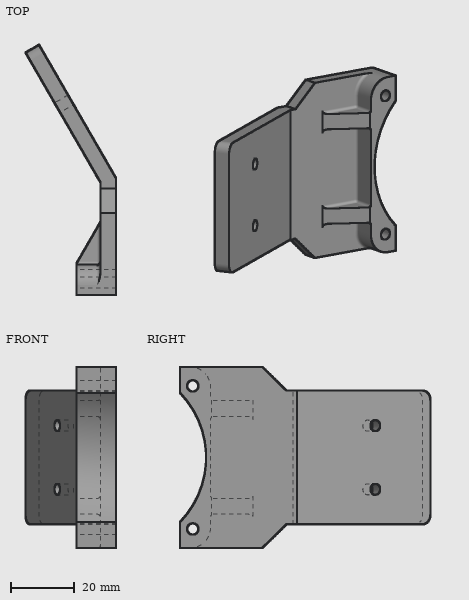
import cadquery as cq
import math

total_width = 28.5
total_length = 78.8
plate_height = 57.0
thickness = 5.0
tilt = 30.0

slab_height = 42.2
slab_corner_radius = 3.0
slab_hole_diameter = 3.5
slab_hole_spacing = 20.0
slab_hole_from_tip = 20.0

shoulder_start = 25.9
shoulder_end = 33.5

flange_reach = 12.5
flange_depth = 9.6
flange_end_radius = 6.5
flange_hole_diameter = 3.5
flange_hole_y = 4.0
flange_hole_spacing = 45.0
cutout_depth = 8.2
cutout_chord = 40.6

rib_width = 5.0
rib_spacing = 30.7
rib_start = 9.9
root_radius = 0.95

tilt_sin = math.sin(math.radians(tilt))
tilt_cos = math.cos(math.radians(tilt))
slab_length = (total_width - thickness * tilt_cos) / tilt_sin
bend_outer_y = total_length - slab_length * tilt_cos
bend_inner_y = bend_outer_y - thickness * math.tan(math.radians(tilt / 2))
rib_end = rib_start + (flange_reach - thickness) / math.tan(math.radians(tilt))
tip_outer = (-slab_length * tilt_sin, total_length)
tip_inner = (-total_width, total_length - thickness * tilt_sin)


def across_z(points, height):
    """Extrude a closed XY outline symmetrically about Z = 0."""
    return cq.Workplane("XY").polyline(points).close().extrude(height / 2, both=True)


def make_plate_outline():
    """Prism of the shouldered plate outline, through the full flange reach."""
    half_height = plate_height / 2
    half_slab = slab_height / 2
    outline = [
        (0, -half_height),
        (shoulder_start, -half_height),
        (shoulder_end, -half_slab),
        (bend_outer_y, -half_slab),
        (bend_outer_y, half_slab),
        (shoulder_end, half_slab),
        (shoulder_start, half_height),
        (0, half_height),
    ]
    return cq.Workplane("YZ").polyline(outline).close().extrude(-flange_reach)


def make_plate_stock():
    """Plate with the mitred bend, taller than needed so root fillets can run past its edges."""
    profile = [(0, 0), (0, bend_outer_y), (-thickness, bend_inner_y), (-thickness, 0)]
    stock_height = plate_height + 4 * root_radius
    return across_z(profile, stock_height)


def make_slab():
    """Tilted slab with rounded tip corners and two holes square to its face."""
    profile = [(0, bend_outer_y), tip_outer, tip_inner, (-thickness, bend_inner_y)]
    slab = across_z(profile, slab_height)
    thickness_direction = cq.Vector(tilt_cos, tilt_sin, 0)
    thickness_edges = slab.edges(cq.selectors.ParallelDirSelector(thickness_direction))
    slab = thickness_edges.edges(">Y").fillet(slab_corner_radius)
    hole_plane = cq.Plane(
        origin=(
            tip_inner[0] + slab_hole_from_tip * tilt_sin,
            tip_inner[1] - slab_hole_from_tip * tilt_cos,
            0,
        ),
        xDir=(0, 0, 1),
        normal=(tilt_cos, tilt_sin, 0),
    )
    holes = (
        cq.Workplane(hole_plane)
        .rarray(slab_hole_spacing, 0.8, 2, 1)
        .circle(slab_hole_diameter / 2)
        .extrude(thickness, both=True)
    )
    return slab.cut(holes)


def make_flange():
    """Wall along the front edge, rounded at its inner ends."""
    flange = (
        cq.Workplane("XY")
        .box(flange_reach, flange_depth, plate_height, centered=(True, False, True))
        .translate((-flange_reach / 2, 0, 0))
    )
    return flange.edges("|X and >Y").fillet(flange_end_radius)


def make_rib_blocks():
    """Two square blocks as tall as the flange, to be cut down to the rib slope later."""
    block_length = rib_end - flange_depth
    return (
        cq.Workplane("YZ")
        .center(flange_depth + block_length / 2, 0)
        .rarray(0.8, rib_spacing, 1, 2)
        .rect(block_length, rib_width)
        .extrude(-flange_reach)
    )


def fillet_roots(body):
    """Round the inside corners beside the ribs, then the whole foot of flange and ribs."""
    rib_sides = [
        sign * (rib_spacing + side * rib_width) / 2
        for sign in (-1, 1)
        for side in (-1, 1)
    ]
    for side_z in rib_sides:
        corner = cq.selectors.NearestToPointSelector((-flange_reach / 2, flange_depth, side_z))
        body = body.edges("|X").edges(corner).fillet(root_radius)
    foot_zone = cq.selectors.BoxSelector(
        (-thickness - root_radius, root_radius, -plate_height),
        (-thickness + root_radius, rib_end + root_radius, plate_height),
    )
    return body.faces("<X[-2]").edges(foot_zone).edges("not(>Z or <Z)").fillet(root_radius)


def make_slope_cutter():
    """Wedge above the rib slope."""
    overrun = root_radius * 2
    profile = [
        (-flange_reach, rib_start),
        (-thickness, rib_end),
        (-thickness, rib_end + overrun),
        (-flange_reach, rib_end + overrun),
    ]
    return across_z(profile, plate_height)


def make_flange_cutter():
    """Round cutout in the front edge of plate and flange, and the two mounting holes."""
    cutout_radius = ((cutout_chord / 2) ** 2 + cutout_depth**2) / (2 * cutout_depth)
    cutout = (
        cq.Workplane("YZ")
        .center(cutout_depth - cutout_radius, 0)
        .circle(cutout_radius)
        .extrude(-flange_reach)
    )
    holes = (
        cq.Workplane("YZ")
        .center(flange_hole_y, 0)
        .rarray(0.8, flange_hole_spacing, 1, 2)
        .circle(flange_hole_diameter / 2)
        .extrude(-flange_reach)
    )
    return cutout.union(holes)


bracket = make_plate_stock().union(make_flange()).union(make_rib_blocks())
bracket = fillet_roots(bracket).cut(make_slope_cutter())
bracket = bracket.intersect(make_plate_outline()).cut(make_flange_cutter())
result = bracket.union(make_slab())